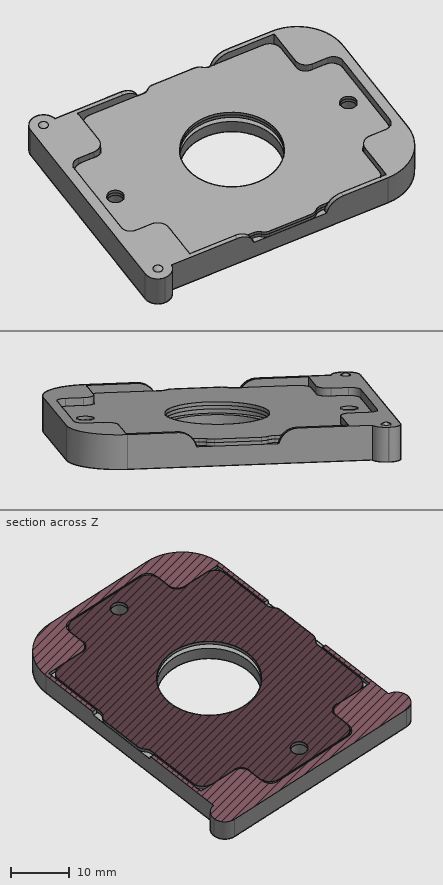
import cadquery as cq
import math

LENGTH = 56.45
REAR_Y = 28.15
BODY_WIDTH = 40.4
OVERALL_WIDTH = 44.6
BODY_HEIGHT = 6.1
OVERALL_HEIGHT = 6.45
REAR_CORNER_RADIUS = 9.0

EAR_RADIUS = 2.5
EAR_FLAT = 0.05
DOME_RADIUS = 0.85

POCKET_FLOOR = 3.5
POCKET_WIDTH = 38.8
POCKET_SHOULDER_LENGTH = 38.55
POCKET_LENGTH = 52.65
WING_WIDTH = 19.85
POCKET_TIP_FILLET = 1.8
POCKET_ROOT_FILLET = 2.2

NOTCH_LENGTH = 14.2
NOTCH_EDGE_RADIUS = 3.4

OPENING_DIAMETER = 17.9
RECESS_DIAMETER = 20.4
RECESS_DEPTH = 1.0
SCREW_HOLE_DIAMETER = 3.0
SCREW_HOLE_OFFSET = 22.85

PLATE_COUNT = 2
PLATE_THICKNESS = 0.6
PLATE_WIDTH = 38.4
PLATE_LENGTH = 52.35
PLATE_CORNER_RADIUS = 2.2
PLATE_ROOT_FILLET = 1.8
TAB_TIP_LENGTH = 8.15
TAB_ROOT_LENGTH = 13.2

EAR_X = OVERALL_WIDTH / 2 - EAR_RADIUS
EAR_LENGTH = 2 * EAR_RADIUS + EAR_FLAT
EAR_Y = REAR_Y - LENGTH + EAR_LENGTH / 2


def cross_prism(width, shoulder_length, length, height, tip_fillet, root_fillet):
    """Rectangle with a narrower wing at each end, filleted at the wing tips and the wing roots."""
    middle = cq.Workplane("XY").box(width, shoulder_length, height, centered=(True, True, False))
    wings = (
        cq.Workplane("XY")
        .box(WING_WIDTH, length, height, centered=(True, True, False))
        .edges("|Z")
        .fillet(tip_fillet)
    )
    margin = 0.05
    reach_x = WING_WIDTH / 2 + margin
    reach_y = shoulder_length / 2 + margin
    wing_roots = cq.selectors.BoxSelector((-reach_x, -reach_y, 0), (reach_x, reach_y, height))
    return middle.union(wings).edges("|Z").edges(wing_roots).fillet(root_fillet)


def round_openings(height):
    """Light opening and two screw holes as cutters."""
    opening = cq.Workplane("XY").circle(OPENING_DIAMETER / 2).extrude(height)
    screw_holes = (
        cq.Workplane("XY")
        .pushPoints([(0, SCREW_HOLE_OFFSET), (0, -SCREW_HOLE_OFFSET)])
        .circle(SCREW_HOLE_DIAMETER / 2)
        .extrude(height)
    )
    return opening.union(screw_holes)


def ear_domes():
    """Spherical caps on the ears, sunk into the housing top by the rest of the sphere."""
    cap_height = OVERALL_HEIGHT - BODY_HEIGHT
    sphere_radius = (DOME_RADIUS**2 + cap_height**2) / (2 * cap_height)
    return (
        cq.Workplane("XY", origin=(0, 0, OVERALL_HEIGHT - sphere_radius))
        .pushPoints([(-EAR_X, EAR_Y), (EAR_X, EAR_Y)])
        .sphere(sphere_radius)
    )


def finger_notch():
    """Notch across both side walls, widening upward along round edges tangent to the top."""
    depth = BODY_HEIGHT - POCKET_FLOOR
    edge_angle = math.acos(1 - depth / NOTCH_EDGE_RADIUS)
    half_floor = NOTCH_LENGTH / 2
    half_top = half_floor + NOTCH_EDGE_RADIUS * math.sin(edge_angle)
    mid_y = half_top - NOTCH_EDGE_RADIUS * math.sin(edge_angle / 2)
    mid_z = BODY_HEIGHT - NOTCH_EDGE_RADIUS * (1 - math.cos(edge_angle / 2))
    return (
        cq.Workplane("YZ")
        .moveTo(-half_floor, POCKET_FLOOR)
        .lineTo(half_floor, POCKET_FLOOR)
        .threePointArc((mid_y, mid_z), (half_top, BODY_HEIGHT))
        .lineTo(-half_top, BODY_HEIGHT)
        .threePointArc((-mid_y, mid_z), (-half_floor, POCKET_FLOOR))
        .close()
        .extrude(BODY_WIDTH / 2, both=True)
    )


def make_housing():
    """Open frame with ears and domes, the plate pocket, a round recess below it and the notches."""
    body = (
        cq.Workplane("XY", origin=(0, EAR_Y, 0))
        .box(BODY_WIDTH, REAR_Y - EAR_Y, BODY_HEIGHT, centered=(True, False, False))
        .edges("|Z and >Y")
        .fillet(REAR_CORNER_RADIUS)
    )
    ear_bar = (
        cq.Workplane("XY")
        .box(OVERALL_WIDTH, EAR_LENGTH, BODY_HEIGHT, centered=(True, True, False))
        .edges("|Z")
        .fillet(EAR_RADIUS)
        .translate((0, EAR_Y, 0))
    )
    body = body.union(ear_bar).union(ear_domes())

    pocket = cross_prism(
        POCKET_WIDTH,
        POCKET_SHOULDER_LENGTH,
        POCKET_LENGTH,
        BODY_HEIGHT - POCKET_FLOOR,
        POCKET_TIP_FILLET,
        POCKET_ROOT_FILLET,
    )
    recess = cq.Workplane("XY").circle(RECESS_DIAMETER / 2).extrude(RECESS_DEPTH)
    body = body.cut(pocket.translate((0, 0, POCKET_FLOOR)))
    body = body.cut(recess.translate((0, 0, POCKET_FLOOR - RECESS_DEPTH)))
    return body.cut(finger_notch()).cut(round_openings(BODY_HEIGHT))


def side_tabs():
    """Tabs reaching out to both side faces of the housing, blended in by S-curves of two equal arcs."""
    root_x = PLATE_WIDTH / 2
    tip_x = BODY_WIDTH / 2
    root_y = TAB_ROOT_LENGTH / 2
    tip_y = TAB_TIP_LENGTH / 2
    middle_x = (root_x + tip_x) / 2
    middle_y = (root_y + tip_y) / 2
    arc_angle = 2 * math.atan((tip_x - root_x) / (root_y - tip_y))
    arc_radius = (root_y - tip_y) / (2 * math.sin(arc_angle))
    right_tab = (
        cq.Workplane("XY")
        .moveTo(0, -root_y)
        .lineTo(root_x, -root_y)
        .radiusArc((middle_x, -middle_y), arc_radius)
        .radiusArc((tip_x, -tip_y), -arc_radius)
        .lineTo(tip_x, tip_y)
        .radiusArc((middle_x, middle_y), -arc_radius)
        .radiusArc((root_x, root_y), arc_radius)
        .lineTo(0, root_y)
        .close()
        .extrude(PLATE_THICKNESS)
    )
    return right_tab.union(right_tab.mirror("YZ"))


def make_plate(bottom_z):
    """Cross-shaped plate with side tabs; it bears on the pocket shoulders and wing sides."""
    plate = cross_prism(
        PLATE_WIDTH,
        POCKET_SHOULDER_LENGTH,
        PLATE_LENGTH,
        PLATE_THICKNESS,
        PLATE_CORNER_RADIUS,
        PLATE_ROOT_FILLET,
    )
    plate = plate.edges("|Z and (<X or >X)").fillet(PLATE_CORNER_RADIUS)
    plate = plate.union(side_tabs()).cut(round_openings(PLATE_THICKNESS))
    return plate.translate((0, 0, bottom_z))


housing = make_housing()
plates = [make_plate(POCKET_FLOOR + level * PLATE_THICKNESS) for level in range(PLATE_COUNT)]
result = cq.Compound.makeCompound([housing.val(), *[plate.val() for plate in plates]])